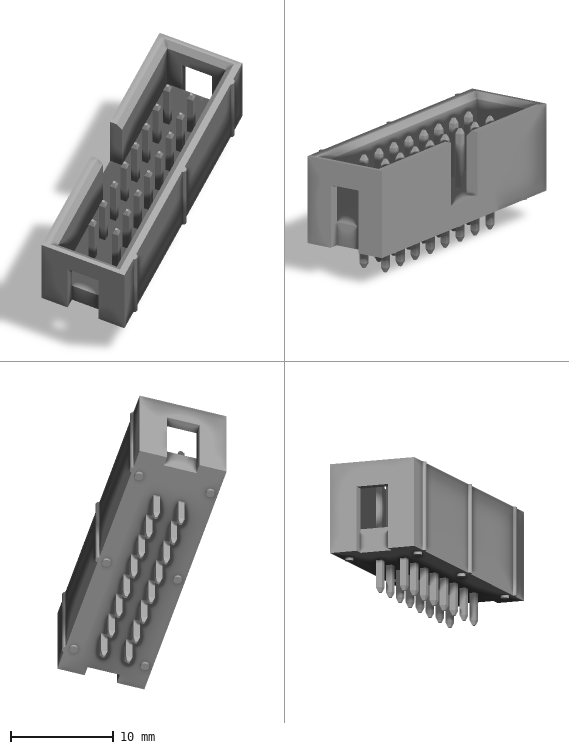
import cadquery as cq

body_width = 8.87
body_length = 27.98
body_height = 8.87
floor_height = 2.35

cavity_width = 6.3
cavity_length = 25.9
lead_in_run = 0.6
lead_in_depth = 0.6
side_wall = (body_width - cavity_width) / 2
end_wall = (body_length - cavity_length) / 2

key_notch_width = 4.48
end_slot_width = 3.3
end_slot_height = 6.4

middle_rib_projection = 0.3
middle_rib_base = 0.62
outer_rib_projection = 0.25
outer_rib_base = 0.67
rib_offset = 11.53

peg_diameter = 0.85
peg_height = 0.265
peg_offset_x = 3.65
peg_offset_y = 11.1

pins_per_column = 8
pin_span = 17.77
pin_pitch = pin_span / (pins_per_column - 1)
pin_size = 0.65
pin_top = 8.3
pin_bottom = -3.22
pin_tip_length = 0.5
pin_tip_size = 0.25


def box(width, length, z_low, z_high):
    """Upright box centred on the Z axis between two heights."""
    return cq.Workplane("XY").workplane(offset=z_low).rect(width, length).extrude(z_high - z_low)


def frustum(z_start, width_start, length_start, z_end, width_end, length_end):
    """Tapered solid between two rectangles centred on the Z axis."""
    return (
        cq.Workplane("XY")
        .workplane(offset=z_start)
        .rect(width_start, length_start)
        .workplane(offset=z_end - z_start)
        .rect(width_end, length_end)
        .loft(ruled=True, combine=True)
    )


def make_housing():
    housing = box(body_width, body_length, 0, body_height)
    cavity = box(cavity_width, cavity_length, floor_height, body_height)
    lead_in = frustum(
        body_height - lead_in_depth,
        cavity_width,
        cavity_length,
        body_height,
        cavity_width + 2 * lead_in_run,
        cavity_length + 2 * lead_in_run,
    )
    housing = housing.cut(cavity).cut(lead_in)

    key_notch = box(side_wall, key_notch_width, floor_height, body_height)
    housing = housing.cut(key_notch.translate((-(body_width - side_wall) / 2, 0, 0)))

    end_slot = box(end_slot_width, end_wall, 0, end_slot_height)
    for side in (-1, 1):
        housing = housing.cut(end_slot.translate((0, side * (body_length - end_wall) / 2, 0)))
    return housing


def make_rib(y, base, projection):
    """Full-height rounded rib on the +X face."""
    face = body_width / 2
    return (
        cq.Workplane("XY")
        .moveTo(face, y - base / 2)
        .threePointArc((face + projection, y), (face, y + base / 2))
        .close()
        .extrude(body_height)
    )


def make_pegs():
    centres = [(side * peg_offset_x, row * peg_offset_y) for side in (-1, 1) for row in (-1, 0, 1)]
    return cq.Workplane("XY").pushPoints(centres).circle(peg_diameter / 2).extrude(-peg_height)


def make_pin():
    """Square pin on the Z axis, tapered at both ends."""
    upper_shoulder = pin_top - pin_tip_length
    lower_shoulder = pin_bottom + pin_tip_length
    shank = box(pin_size, pin_size, lower_shoulder, upper_shoulder)
    upper_tip = frustum(upper_shoulder, pin_size, pin_size, pin_top, pin_tip_size, pin_tip_size)
    lower_tip = frustum(lower_shoulder, pin_size, pin_size, pin_bottom, pin_tip_size, pin_tip_size)
    return shank.union(upper_tip).union(lower_tip)


result = make_housing().union(make_pegs())

result = result.union(make_rib(0, middle_rib_base, middle_rib_projection))
for end in (-1, 1):
    result = result.union(make_rib(end * rib_offset, outer_rib_base, outer_rib_projection))

pin = make_pin()
for column in (-1, 1):
    for index in range(pins_per_column):
        pin_y = index * pin_pitch - pin_span / 2
        result = result.union(pin.translate((column * pin_pitch / 2, pin_y, 0)))